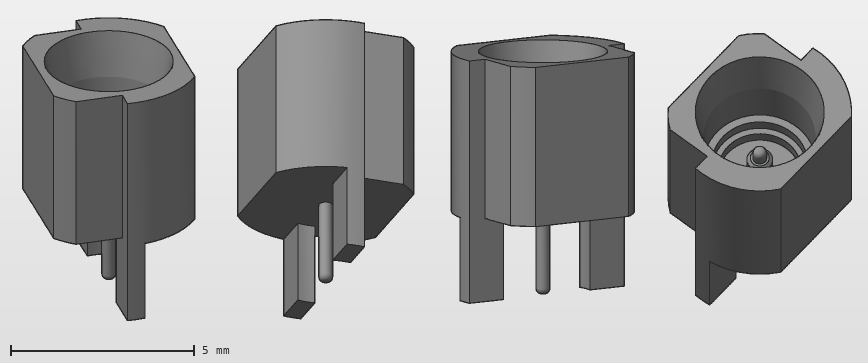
import cadquery as cq

total_height = 6.7
leg_length = 2.3

body_radius = 2.5
half_depth = 2.0
half_front_width = 1.99
shoulder_y = -0.2

leg_thickness = 0.5
leg_inner_radius = 1.4

mouth_diameter = 3.51
bore_diameter = 3.05
middle_diameter = 2.6
inner_diameter = 2.25
flare_depth = 1.305
bore_depth = 2.68
middle_depth = 3.015
socket_depth = 3.35

pin_diameter = 0.38
pin_tip_round = 0.15
collar_diameter = 0.705
collar_chamfer = 0.095
collar_height = 0.94
contact_height = 1.34


def cylinder(diameter, bottom, top):
    """Vertical cylinder on the part axis between two heights."""
    return cq.Workplane("XY").workplane(offset=bottom).circle(diameter / 2).extrude(top - bottom)


def slab(x_size, y_low, y_high, height):
    """Block standing on Z = 0, centred on X."""
    y_size = y_high - y_low
    block = cq.Workplane("XY").box(x_size, y_size, height, centered=(True, False, False))
    return block.translate((0, y_low, 0))


def make_body():
    """Rounded body with flat front and back and a narrower front half."""
    rear = slab(2 * body_radius, shoulder_y, half_depth, total_height)
    front = slab(2 * half_front_width, -half_depth, shoulder_y, total_height)
    return cylinder(2 * body_radius, leg_length, total_height).intersect(rear.union(front))


def make_legs():
    """Two legs between the body radius and a concentric inner radius."""
    ring = cylinder(2 * body_radius, 0, leg_length).cut(cylinder(2 * leg_inner_radius, 0, leg_length))
    return ring.intersect(slab(2 * body_radius, shoulder_y, shoulder_y + leg_thickness, leg_length))


def make_socket():
    """Revolved cavity with a conical mouth and three straight bores."""
    bore_radius = bore_diameter / 2
    return (
        cq.Workplane("XZ")
        .moveTo(0, total_height - socket_depth)
        .lineTo(inner_diameter / 2, total_height - socket_depth)
        .lineTo(inner_diameter / 2, total_height - middle_depth)
        .lineTo(middle_diameter / 2, total_height - middle_depth)
        .lineTo(middle_diameter / 2, total_height - bore_depth)
        .lineTo(bore_radius, total_height - bore_depth)
        .lineTo(bore_radius, total_height - flare_depth)
        .lineTo(mouth_diameter / 2, total_height)
        .lineTo(0, total_height)
        .close()
        .revolve(360, (0, 0, 0), (0, 1, 0))
    )


def make_pin():
    """One-piece pin: rounded tail, chamfered collar on the socket floor and rounded nose."""
    floor = total_height - socket_depth
    pin = cylinder(pin_diameter, 0, floor + contact_height).edges("%CIRCLE").fillet(pin_tip_round)
    collar = cylinder(collar_diameter, floor, floor + collar_height).faces(">Z").edges().chamfer(collar_chamfer)
    return pin.union(collar)


result = make_body().cut(make_socket()).union(make_legs()).union(make_pin())